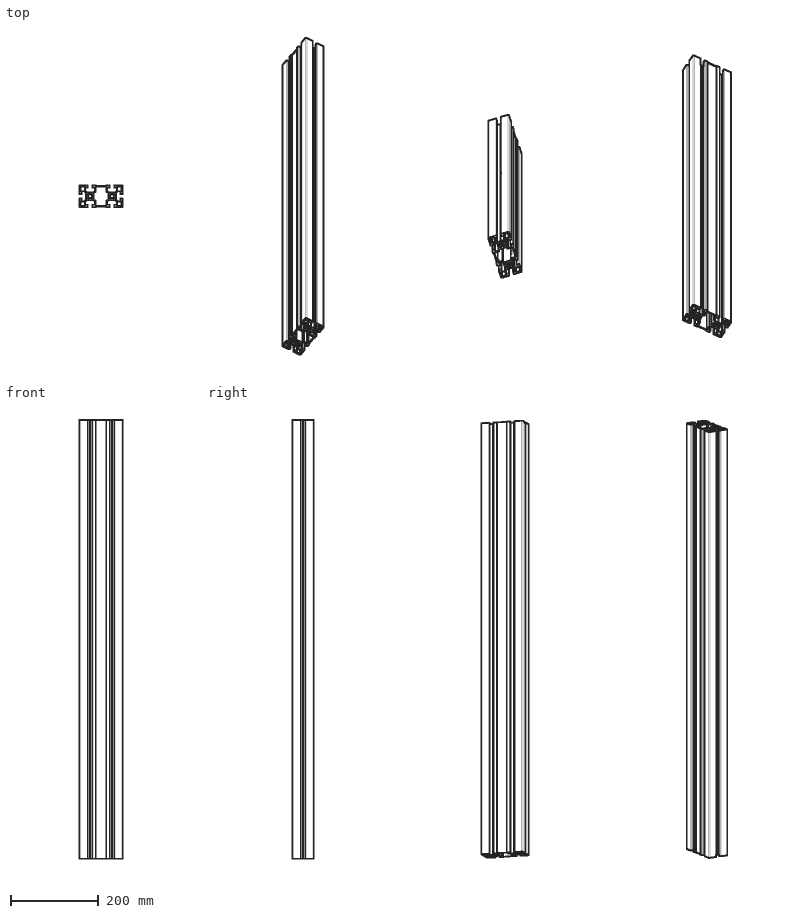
import cadquery as cq

module = 50.0
width = 2 * module
length = 1000.0
half_module = module / 2
core_centres = [(-half_module, 0), (half_module, 0)]

corner_radius = 2.5
recess_width = 24.0
recess_depth = 1.5

neck_width = 10.0
mouth_radius = 1.5
lip_thickness = 6.0
slot_width = 22.0
slot_depth = 15.75
floor_chamfer = 3.0
groove_width = 1.5
groove_depth = 0.5

bore_diameter = 8.0
key_length = 13.0
key_width = 3.0
key_angles = (45, 135)

cell_size = 9.5
cell_wall = 3.5

wide_face_wall = 2.0
web_thickness = 2.5
core_wall_to_centre = 9.0
shoulder_height = 10.0
shoulder_drop = 1.0

chamber_top = half_module - recess_depth - wide_face_wall
chamber_half_width = half_module - slot_width / 2 - web_thickness
chamber_bulge = half_module - core_wall_to_centre


def bar_blank():
    """Solid bar with rounded long edges."""
    return cq.Workplane("XY").rect(width, module).extrude(length).edges("|Z").fillet(corner_radius)


def t_slot():
    """T-slot running down into -Y, with the middle of its mouth at the origin."""
    neck = neck_width / 2
    mouth = neck + mouth_radius
    half_slot = slot_width / 2
    half_groove = groove_width / 2
    right_side = [
        (neck, -lip_thickness),
        (half_slot, -lip_thickness),
        (half_slot, floor_chamfer - slot_depth),
        (half_slot - floor_chamfer, -slot_depth),
        (half_groove, -slot_depth),
    ]
    groove_bottom = (0, -slot_depth - groove_depth)
    left_side = [(-x, y) for x, y in reversed(right_side)]

    outline = cq.Workplane("XY").moveTo(mouth, 0).radiusArc((neck, -mouth_radius), -mouth_radius)
    for point in right_side + [groove_bottom] + left_side:
        outline = outline.lineTo(*point)
    outline = outline.lineTo(-neck, -mouth_radius).radiusArc((-mouth, 0), -mouth_radius)
    return outline.close().extrude(length)


def all_slots():
    """Two T-slots on each wide face and one on each narrow face."""
    places = [
        (-half_module, half_module, 0),
        (half_module, half_module, 0),
        (-half_module, -half_module, 180),
        (half_module, -half_module, 180),
        (-width / 2, 0, 90),
        (width / 2, 0, -90),
    ]
    slots = cq.Workplane("XY")
    for x, y, turn in places:
        slots = slots.add(t_slot().rotate((0, 0, 0), (0, 0, 1), turn).translate((x, y, 0)))
    return slots.combine()


def centre_chamber():
    """Hollow between the two cores, bulging outward beside them."""
    upper_right = [
        (chamber_half_width, chamber_top),
        (chamber_half_width, shoulder_height),
        (chamber_bulge, shoulder_height - shoulder_drop),
    ]
    right = upper_right + [(x, -y) for x, y in reversed(upper_right)]
    left = [(-x, y) for x, y in reversed(right)]
    return cq.Workplane("XY").polyline(right + left).close().extrude(length)


def corner_cells():
    """Square hollow in each corner."""
    inset = cell_wall + cell_size / 2
    return (
        cq.Workplane("XY")
        .rect(width - 2 * inset, module - 2 * inset, forConstruction=True)
        .vertices()
        .rect(cell_size, cell_size)
        .extrude(length)
    )


def core_bores():
    """Round bore through each core, with two diagonal keyways crossing it."""
    bores = cq.Workplane("XY").pushPoints(core_centres).circle(bore_diameter / 2).extrude(length)
    for angle in key_angles:
        keyway = cq.Workplane("XY").rect(key_length, key_width).extrude(length)
        turned = keyway.rotate((0, 0, 0), (0, 0, 1), angle)
        for x, y in core_centres:
            bores = bores.union(turned.translate((x, y, 0)))
    return bores


def face_recesses():
    """Shallow recess along the middle of both wide faces."""
    return (
        cq.Workplane("XY")
        .pushPoints([(0, half_module), (0, -half_module)])
        .rect(recess_width, 2 * recess_depth)
        .extrude(length)
    )


result = (
    bar_blank()
    .cut(all_slots())
    .cut(centre_chamber())
    .cut(corner_cells())
    .cut(core_bores())
    .cut(face_recesses())
)